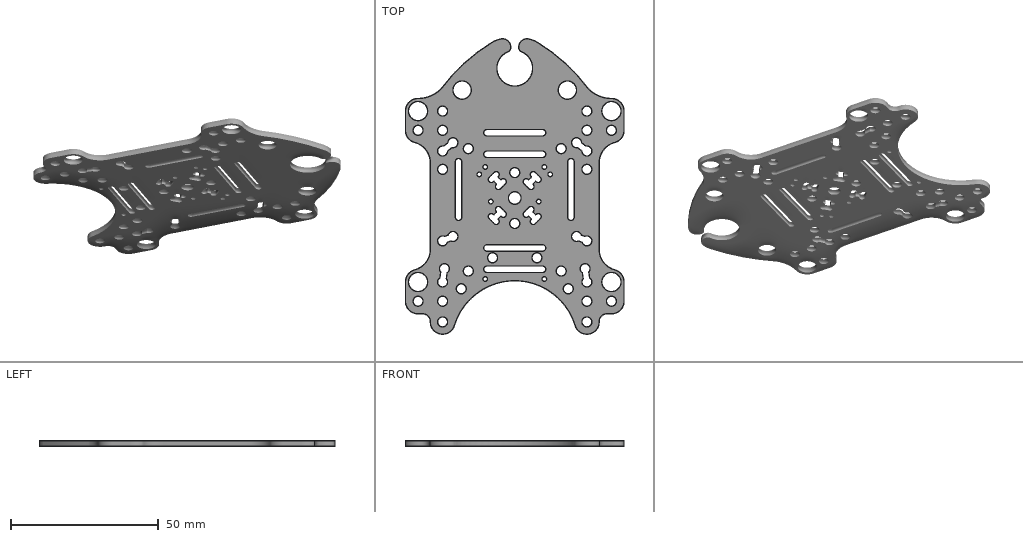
import cadquery as cq
import math

length = 99.9
width = 73.9
thickness = 2.0
front_y = length / 2
rear_y = -length / 2

screw_diameter = 3.3
corner_hole_diameter = 6.4
nose_hole_diameter = 6.1
hub_diameter = 4.2
pin_diameter = 1.5

ear_radius = 4.3
ear_x = width / 2 - ear_radius
front_ear_y = 25.5
front_ear_inner_y = 19.0
rear_ear_inner_y = -32.3
rear_ear_y = -38.8
waist_x = 28.6
waist_fillet = 7.0
leg_radius = 4.2
leg_x = waist_x - leg_radius
leg_y = rear_y + leg_radius
leg_fillet = 2.5
tail_radius = 21.3

shoulder_radius = 11.0
shoulder_angle = math.radians(45)
eye_radius = 6.0
eye_y = 40.0
eye_end_x = 2.3
throat_half_width = 1.3
throat_y = 46.9
throat_bend = (1.6, 46.0)
tip_inner_bend = (2.1, 49.0)
tip_x = 4.3
tip_outer_bend = (6.2, 49.4)
nose_side_mid = (16.2, 42.5)
nose_side_end = (7.8, 48.6)

slot_width = 2.1
slot_length = 20.9
cross_slot_ys = (18.2, 10.9, -20.8, -28.0)
side_slot_x = 19.0
side_slot_y = -1.0

neck_width = 2.1
double_slots = [
    ((leg_x, 12.0), (20.9, 14.8)),
    ((leg_x, -18.4), (20.9, -16.9)),
    ((leg_x, -32.3), (23.8, -27.8)),
]

hub_y = -3.9
hub_screw_offset = 8.6
h_offset = 5.9
h_bar_length = 4.3
h_bar_width = 2.0
h_bar_spacing = 3.4
h_angle = 45

screw_pairs = [
    (ear_x, front_ear_inner_y),
    (ear_x, rear_ear_y),
    (leg_x, front_ear_y),
    (leg_x, front_ear_inner_y),
    (leg_x, 5.8),
    (leg_x, rear_ear_y),
    (leg_x, leg_y),
    (15.7, 12.8),
    (15.7, -28.6),
    (18.1, -34.6),
    (7.5, -24.1),
]
corner_hole_pairs = [(ear_x, front_ear_y), (ear_x, rear_ear_inner_y)]
nose_hole_pairs = [(17.8, 32.6)]
pin_pairs = [(10.0, 6.6), (12.0, 4.1), (8.1, -5.1), (10.0, -31.3)]


def on_circle(center, radius, angle):
    """Point on a circle at an angle in radians."""
    return (center[0] + radius * math.cos(angle), center[1] + radius * math.sin(angle))


def toward(center, target, radius):
    """Point on a circle in the direction of a target."""
    return on_circle(center, radius, math.atan2(target[1] - center[1], target[0] - center[0]))


def arc_middle(center, start, end):
    """Middle of the shorter arc from start to end around a center."""
    chord_middle = ((start[0] + end[0]) / 2, (start[1] + end[1]) / 2)
    return toward(center, chord_middle, math.dist(center, start))


def both_sides(points):
    """The points together with their mirror images across the YZ plane."""
    return points + [(-x, y) for x, y in points]


def waist_center(ear_y, direction):
    """Center of the concave arc tangent to an ear and to the waist, which lies in the given Y direction."""
    x = waist_x + waist_fillet
    reach = math.sqrt((ear_radius + waist_fillet) ** 2 - (x - ear_x) ** 2)
    return (x, ear_y + direction * reach)


def half_plate():
    """The +X half of the plate without holes, drawn from the eye clockwise to the tail."""
    eye = (0, eye_y)
    eye_back = (0, eye_y - eye_radius)
    eye_side = (eye_radius, eye_y)
    eye_end = (eye_end_x, eye_y + math.sqrt(eye_radius**2 - eye_end_x**2))

    shoulder = (ear_x, front_ear_y + ear_radius + shoulder_radius)
    shoulder_start = on_circle(shoulder, shoulder_radius, -math.pi / 2 - shoulder_angle)
    shoulder_end = (ear_x, front_ear_y + ear_radius)

    front_ear = (ear_x, front_ear_y)
    front_ear_side = (width / 2, front_ear_y)
    front_ear_inner = (ear_x, front_ear_inner_y)
    front_ear_inner_side = (width / 2, front_ear_inner_y)
    front_waist = waist_center(front_ear_inner_y, -1)
    front_ear_end = toward(front_ear_inner, front_waist, ear_radius)
    front_waist_side = (waist_x, front_waist[1])

    rear_ear_inner = (ear_x, rear_ear_inner_y)
    rear_ear_inner_side = (width / 2, rear_ear_inner_y)
    rear_waist = waist_center(rear_ear_inner_y, 1)
    rear_waist_side = (waist_x, rear_waist[1])
    rear_ear_start = toward(rear_ear_inner, rear_waist, ear_radius)
    rear_ear = (ear_x, rear_ear_y)
    rear_ear_side = (width / 2, rear_ear_y)
    rear_ear_end = (ear_x, rear_ear_y - ear_radius)

    leg = (leg_x, leg_y)
    leg_side = (waist_x, leg_y)
    corner = (waist_x + leg_fillet, rear_ear_end[1] - leg_fillet)
    corner_start = (corner[0], rear_ear_end[1])
    corner_end = (waist_x, corner[1])

    tail = (0, leg_y - math.sqrt((tail_radius + leg_radius) ** 2 - leg_x**2))
    leg_bottom = (leg_x, rear_y)
    leg_end = toward(leg, tail, leg_radius)
    tail_end = (0, tail[1] + tail_radius)

    return (
        cq.Workplane("XY")
        .moveTo(*eye_back)
        .threePointArc(arc_middle(eye, eye_back, eye_side), eye_side)
        .threePointArc(arc_middle(eye, eye_side, eye_end), eye_end)
        .threePointArc(throat_bend, (throat_half_width, throat_y))
        .threePointArc(tip_inner_bend, (tip_x, front_y))
        .threePointArc(tip_outer_bend, nose_side_end)
        .threePointArc(nose_side_mid, shoulder_start)
        .threePointArc(arc_middle(shoulder, shoulder_start, shoulder_end), shoulder_end)
        .threePointArc(arc_middle(front_ear, shoulder_end, front_ear_side), front_ear_side)
        .lineTo(*front_ear_inner_side)
        .threePointArc(arc_middle(front_ear_inner, front_ear_inner_side, front_ear_end), front_ear_end)
        .threePointArc(arc_middle(front_waist, front_ear_end, front_waist_side), front_waist_side)
        .lineTo(*rear_waist_side)
        .threePointArc(arc_middle(rear_waist, rear_waist_side, rear_ear_start), rear_ear_start)
        .threePointArc(arc_middle(rear_ear_inner, rear_ear_start, rear_ear_inner_side), rear_ear_inner_side)
        .lineTo(*rear_ear_side)
        .threePointArc(arc_middle(rear_ear, rear_ear_side, rear_ear_end), rear_ear_end)
        .lineTo(*corner_start)
        .threePointArc(arc_middle(corner, corner_start, corner_end), corner_end)
        .lineTo(*leg_side)
        .threePointArc(arc_middle(leg, leg_side, leg_bottom), leg_bottom)
        .threePointArc(arc_middle(leg, leg_bottom, leg_end), leg_end)
        .threePointArc(arc_middle(tail, leg_end, tail_end), tail_end)
        .close()
        .extrude(thickness)
    )


def round_holes(points, diameter):
    return cq.Workplane("XY").pushPoints(points).circle(diameter / 2).extrude(thickness)


def straight_slots(points, angle):
    return cq.Workplane("XY").pushPoints(points).slot2D(slot_length, slot_width, angle).extrude(thickness)


def double_slot(outer, inner):
    """Two screw holes joined by a narrower neck."""
    run = math.dist(outer, inner)
    angle = math.degrees(math.atan2(inner[1] - outer[1], inner[0] - outer[0]))
    center = ((outer[0] + inner[0]) / 2, (outer[1] + inner[1]) / 2)
    neck = cq.Workplane("XY").rect(run, neck_width).extrude(thickness)
    neck = neck.rotate((0, 0, 0), (0, 0, 1), angle).translate((*center, 0))
    return round_holes([outer, inner], screw_diameter).union(neck)


def h_cutout(x_sign, y_sign):
    """Two rounded bars across a diagonal of the hub, joined by a neck along it."""
    bars = cq.Workplane("XY").pushPoints([(-h_bar_spacing / 2, 0), (h_bar_spacing / 2, 0)])
    bars = bars.slot2D(h_bar_length, h_bar_width, 90).extrude(thickness)
    neck = cq.Workplane("XY").rect(h_bar_spacing, h_bar_width).extrude(thickness)
    shape = bars.union(neck).rotate((0, 0, 0), (0, 0, 1), h_angle * x_sign * y_sign)
    return shape.translate((x_sign * h_offset, hub_y + y_sign * h_offset, 0))


half = half_plate()
plate = half.union(half.mirror("YZ"))

hub_screws = [(0, hub_y + hub_screw_offset), (0, hub_y - hub_screw_offset)]
plate = plate.cut(round_holes(both_sides(screw_pairs) + hub_screws, screw_diameter))
plate = plate.cut(round_holes(both_sides(corner_hole_pairs), corner_hole_diameter))
plate = plate.cut(round_holes(both_sides(nose_hole_pairs), nose_hole_diameter))
plate = plate.cut(round_holes(both_sides(pin_pairs), pin_diameter))
plate = plate.cut(round_holes([(0, hub_y)], hub_diameter))

plate = plate.cut(straight_slots([(0, y) for y in cross_slot_ys], 0))
plate = plate.cut(straight_slots(both_sides([(side_slot_x, side_slot_y)]), 90))

for outer_end, inner_end in double_slots:
    cutter = double_slot(outer_end, inner_end)
    plate = plate.cut(cutter).cut(cutter.mirror("YZ"))

for x_sign in (-1, 1):
    for y_sign in (-1, 1):
        plate = plate.cut(h_cutout(x_sign, y_sign))

result = plate